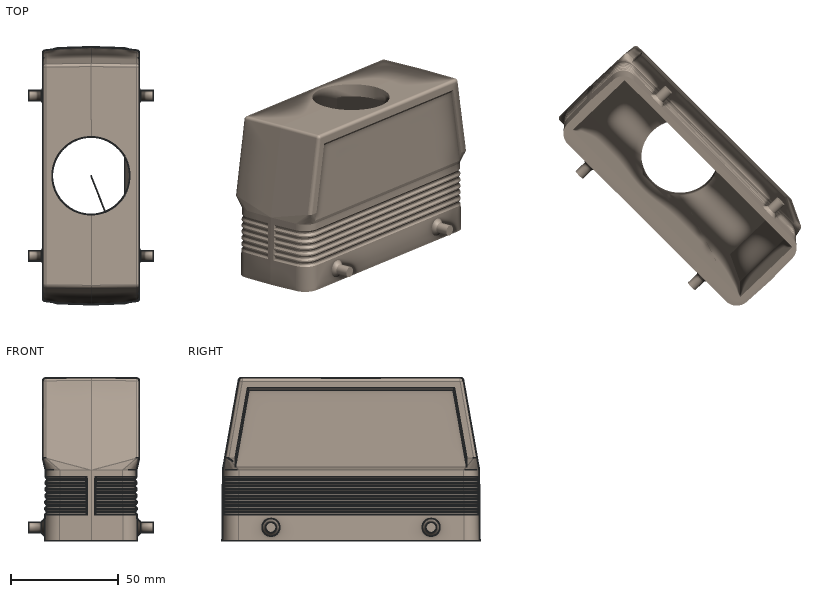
import cadquery as cq
import math

height = 76.0
ribs_bottom = 12.2
ribs_top = 29.8
skirt_top = 33.0
shoulder_top = 38.6

skirt_half_width_foot = 21.6
skirt_half_width_top = 21.25
skirt_half_length_foot = 60.0
skirt_half_length_top = 59.7
skirt_corner_radius = 7.0
skirt_crest_slope = 0.033

hood_half_width = 22.5
hood_end_angle = 10.0
hood_crest_slope = 0.012
hood_edge_radius = 1.5
roof_fall = 0.2

groove_count = 6
groove_depth = 0.75
rib_land = 0.6
groove_flank_height = 0.9
web_half_width = 1.6
web_flank_width = 0.6

panel_depth = 0.9
panel_top = 71.2
panel_half_length_top = 48.1
panel_top_bevel = 1.2
panel_end_bevel = 0.8

pin_tip = 29.0
pin_radius = 2.45
pin_flare_radius = 4.1
pin_flare_tip = 23.1
pin_root = 20.0
pin_y = 37.25
pin_z = 6.3

entry_radius = 18.0
entry_bottom = 55.0
cavity_top = 70.0
cavity_left = -18.6
cavity_right = 15.6
end_wall = 4.0

end_slope = math.tan(math.radians(hood_end_angle))


def hood_half_length(z):
    """Half length of the upper hood on its centre line at height z."""
    return skirt_half_length_top - (z - skirt_top) * end_slope


def crested_outline(half_width, half_length, crest_slope, corner_radius):
    """Rectangle with slightly peaked ends and rounded corners."""
    shoulder = half_length - crest_slope * half_width
    points = [
        (0, half_length),
        (half_width, shoulder),
        (half_width, -shoulder),
        (0, -half_length),
        (-half_width, -shoulder),
        (-half_width, shoulder),
        (0, half_length),
    ]
    outline = cq.Sketch().polygon(points)
    if corner_radius > 0:
        outline = outline.vertices("<X or >X").fillet(corner_radius)
    return outline


def ruled_solid(bottom_outline, bottom_z, top_outline, top_z):
    """Straight-sided solid between two outlines lying at two heights."""
    return (
        cq.Workplane("XY")
        .placeSketch(
            bottom_outline.moved(cq.Location(cq.Vector(0, 0, bottom_z))),
            top_outline.moved(cq.Location(cq.Vector(0, 0, top_z))),
        )
        .loft(ruled=True)
    )


def skirt_outline(z, inset=0.0):
    """Outline of the drafted skirt at height z, moved inward by inset."""
    share = z / skirt_top
    half_width = skirt_half_width_foot + share * (skirt_half_width_top - skirt_half_width_foot)
    half_length = skirt_half_length_foot + share * (skirt_half_length_top - skirt_half_length_foot)
    return crested_outline(
        half_width - inset, half_length - inset, skirt_crest_slope, skirt_corner_radius - inset
    )


def skirt_layer(bottom_z, top_z, bottom_inset=0.0, top_inset=0.0):
    """Slice of the skirt whose sides lean from one inset to another."""
    bottom_outline = skirt_outline(bottom_z, bottom_inset)
    top_outline = skirt_outline(top_z, top_inset)
    return ruled_solid(bottom_outline, bottom_z, top_outline, top_z)


def make_skirt():
    """Skirt with trapezoidal grooves, interrupted by a web in the middle of each end."""
    groove_height = (ribs_top - ribs_bottom - (groove_count - 1) * rib_land) / groove_count
    profile = [(0, 0)]
    for index in range(groove_count):
        bottom = ribs_bottom + index * (groove_height + rib_land)
        top = bottom + groove_height
        profile.append((bottom, 0))
        profile.append((bottom + groove_flank_height, groove_depth))
        profile.append((top - groove_flank_height, groove_depth))
        profile.append((top, 0))
    profile.append((skirt_top, 0))

    layers = []
    for (bottom, bottom_inset), (top, top_inset) in zip(profile, profile[1:]):
        layers.append(skirt_layer(bottom, top, bottom_inset, top_inset).val())
    web = skirt_layer(ribs_bottom, ribs_top).intersect(make_web_wedges())
    return cq.Workplane(layers[0].fuse(*layers[1:], glue=True)).union(web)


def make_web_wedges():
    """Tapered strips that stay uncut between the two groove runs of each end."""
    outer = skirt_half_length_foot
    inner = outer - 2 * groove_depth
    inner_half_width = web_half_width + 2 * web_flank_width
    strip = (
        cq.Workplane("XY")
        .workplane(offset=ribs_bottom)
        .polyline([
            (-web_half_width, outer),
            (web_half_width, outer),
            (inner_half_width, inner),
            (-inner_half_width, inner),
        ])
        .close()
        .extrude(ribs_top - ribs_bottom)
    )
    return strip.union(strip.mirror("XZ"))


def hood_block(bottom, top):
    """Sharp-edged length of the upper hood between two heights."""
    return ruled_solid(
        crested_outline(hood_half_width, hood_half_length(bottom), hood_crest_slope, 0),
        bottom,
        crested_outline(hood_half_width, hood_half_length(top), hood_crest_slope, 0),
        top,
    )


def make_hood():
    """Upper hood with sloping ends, a faintly ridged roof and rounded edges."""
    bar_half_width = 2 * hood_half_width
    bar_eave = height - roof_fall * bar_half_width / hood_half_width
    ridged_bar = (
        cq.Workplane("XZ")
        .polyline([
            (-bar_half_width, 0),
            (bar_half_width, 0),
            (bar_half_width, bar_eave),
            (0, height),
            (-bar_half_width, bar_eave),
        ])
        .close()
        .extrude(2 * skirt_half_length_foot, both=True)
    )
    hood = hood_block(shoulder_top, height).intersect(ridged_bar)
    side_edges = hood.faces("<X or >X").edges("not <Z")
    roof_end_edges = hood.edges("not |Y").edges(">Z")
    return side_edges.add(roof_end_edges).fillet(hood_edge_radius)


def make_shoulder():
    """Flared band from the rounded skirt out to the hood, trimmed by the hood's end planes."""
    corner_x = hood_half_width - hood_edge_radius
    corner_y = hood_half_length(shoulder_top) - hood_crest_slope * corner_x
    top_outline = crested_outline(
        hood_half_width,
        corner_y + skirt_crest_slope * corner_x,
        skirt_crest_slope,
        hood_edge_radius,
    )
    band = ruled_solid(skirt_outline(skirt_top), skirt_top, top_outline, shoulder_top)
    return band.intersect(hood_block(skirt_top, shoulder_top))


def panel_outline(bevel_share):
    """Trapezoid of a side panel, shrunk by a share of its bevel widths."""
    top = panel_top - bevel_share * panel_top_bevel
    half_top = panel_half_length_top + end_slope * (panel_top - top) - bevel_share * panel_end_bevel
    half_bottom = half_top + end_slope * (top - skirt_top)
    return [(-half_top, top), (half_top, top), (half_bottom, skirt_top), (-half_bottom, skirt_top)]


def make_panel_recess():
    """Bevelled recess for the +X side."""
    return (
        cq.Workplane("YZ")
        .workplane(offset=hood_half_width - panel_depth)
        .polyline(panel_outline(1))
        .close()
        .workplane(offset=panel_depth)
        .polyline(panel_outline(0))
        .close()
        .loft(ruled=True)
    )


def make_pin(y):
    """Locking pin with a flared root on the +X side."""
    flare_root_radius = pin_flare_radius + skirt_half_width_foot - pin_root
    return (
        cq.Workplane("XY")
        .polyline([
            (pin_root, 0),
            (pin_root, flare_root_radius),
            (pin_flare_tip, pin_radius),
            (pin_tip, pin_radius),
            (pin_tip, 0),
        ])
        .close()
        .revolve(360, (0, 0, 0), (1, 0, 0))
        .translate((0, y, pin_z))
    )


def make_cavity():
    """Space open at the bottom, with end walls that follow the slope of the hood."""
    foot = skirt_half_length_top - end_wall
    roof = hood_half_length(cavity_top) - end_wall
    return (
        cq.Workplane("YZ")
        .workplane(offset=cavity_left)
        .polyline([
            (-foot, 0),
            (foot, 0),
            (foot, skirt_top),
            (roof, cavity_top),
            (-roof, cavity_top),
            (-foot, skirt_top),
        ])
        .close()
        .extrude(cavity_right - cavity_left)
    )


body = make_skirt().union(make_shoulder()).union(make_hood())

recess = make_panel_recess()
body = body.cut(recess).cut(recess.mirror("YZ"))

for y in (-pin_y, pin_y):
    pin = make_pin(y)
    body = body.union(pin).union(pin.mirror("YZ"))

cable_entry = (
    cq.Workplane("XY")
    .workplane(offset=entry_bottom)
    .transformed(rotate=(0, 0, 90))
    .circle(entry_radius)
    .extrude(height)
)
result = body.cut(make_cavity()).cut(cable_entry)